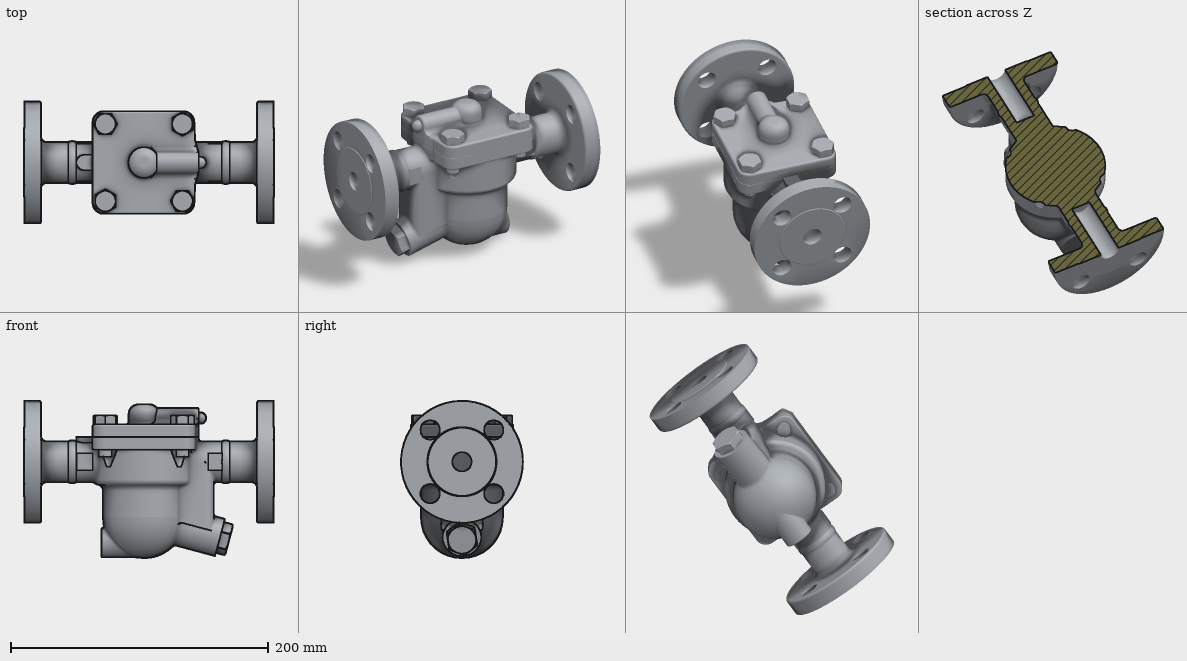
import cadquery as cq
import math

face_to_face = 195.0

flange_dia = 95.0
raised_face_dia = 53.0
raised_face_height = 0.5
flange_thickness = 13.6
flange_edge_radius = 1.8
flange_bolt_circle = 70.0
flange_bolt_hole_dia = 15.0
flange_bolt_count = 4
flange_bolt_start_angle = 45.0
hub_fillet = 4.0

pipe_dia = 32.0
bore_dia = 15.0
bore_depth = 50.0
weld_bead_x = 59.7
weld_bead_width = 6.0
weld_bead_height = 0.8

vessel_x = -4.0
vessel_upper_r = 39.0
vessel_lower_r = 32.0
shoulder_top_z = -14.0
shoulder_round = 4.0
dome_center_z = -43.0
pipe_to_vessel_fillet = 3.5

cover_half = 40.0
cover_right_x = 36.0
cover_right_corner_x = 35.0
cover_flank_half = 17.0
cover_bulge_x = 38.7
cover_bulge_half = 8.0
cover_corner_r = 9.0
flange_bottom_z = 9.5
joint_z = 19.0
gasket_thickness = 0.5
gasket_inset = 0.3
cover_top_z = 29.3
cover_edge_round = 1.8
flange_edge_round = 1.0

head_chamfer_angle = 30.0

bolt_pitch = 60.0
bolt_across_flats = 16.0
bolt_head_height = 7.0
bolt_head_chamfer_rise = 0.7
bolt_turn = 30.0
bolt_dia = 10.0
bolt_end_z = 4.0
bolt_relief_top_r = 9.3
bolt_relief_bottom_r = 3.9
bolt_relief_bottom_z = -4.0

cap_r = 12.0
cap_top_z = 44.8
cap_round = 8.0
cap_foot_fillet = 1.6
tube_r = 8.0
tube_axis_z = 34.0
tube_end_round = 1.4
button_r = 4.5
button_length = 5.8

rib_end_x = 50.5
rib_edge_r = 7.0
rib_fillet = 2.0

branch_angle = 15.0
branch_dia = 30.0
branch_length = 61.3
branch_fillet = 3.5
rib_above_branch_axis = 3.4
plug_across_flats = 22.0
plug_length = 7.5
plug_chamfer_rise = 0.9
plug_turn = 9.0

drain_dia = 22.8
drain_edge_round = 1.0
drain_fillet = 1.5
drain_z = -63.0
drain_face_x = -37.0

pad_height = 13.5
pad_inlet_x = (-56.2, -43.9)
pad_outlet_x = (46.0, 56.8)
lug_r = 5.9
lug_x = -50.7
lug_top_z = 19.3

pipe_r = pipe_dia / 2
shoulder_step = vessel_upper_r - vessel_lower_r
shoulder_turn = math.acos(1 - shoulder_step / (2 * shoulder_round))
shoulder_bottom_z = shoulder_top_z - 2 * shoulder_round * math.sin(shoulder_turn)
half_length = face_to_face / 2
tube_foot_fillet = tube_axis_z - cover_top_z
flange_back_x = half_length - flange_thickness


def cylinder_x(radius, x_start, x_end, y=0.0, z=0.0):
    """Round bar along X."""
    return (
        cq.Workplane("YZ", origin=(x_start, y, z))
        .circle(radius)
        .extrude(x_end - x_start)
    )


def box_between(x_range, y_range, z_range):
    """Box given by its limits along each axis."""
    sizes = [end - start for start, end in (x_range, y_range, z_range)]
    corner = (x_range[0], y_range[0], z_range[0])
    return cq.Workplane("XY").box(*sizes, centered=False).translate(corner)


def edges_inside(x_range, y_range, z_range):
    """Selector for the edges lying wholly inside a box."""
    margin = 0.1
    limits = (x_range, y_range, z_range)
    low = [start - margin for start, _ in limits]
    high = [end + margin for _, end in limits]
    return cq.selectors.BoxSelector(low, high, boundingbox=True)


def hex_head(across_flats, length, chamfer_rise):
    """Hexagon along Z from z = 0 whose far corners are cut by a cone."""
    corner_r = across_flats / math.sqrt(3)
    flat_r = across_flats / 2
    cone_run = chamfer_rise / math.tan(math.radians(head_chamfer_angle))
    prism = cq.Workplane("XY").polygon(6, 2 * corner_r).extrude(length)
    envelope = (
        cq.Workplane("XZ")
        .moveTo(0, 0)
        .lineTo(flat_r + cone_run, 0)
        .lineTo(flat_r + cone_run, length - chamfer_rise)
        .lineTo(flat_r, length)
        .lineTo(0, length)
        .close()
        .revolve(360, (0, 0, 0), (0, 1, 0))
    )
    return prism.intersect(envelope)


def flanged_pipe():
    """Outlet-side flange, hub fillet, pipe and weld bead; the inlet side is its mirror."""
    flange_r = flange_dia / 2
    face_r = raised_face_dia / 2
    face_x = half_length - raised_face_height
    edge_mid = flange_edge_radius * (1 - math.sqrt(0.5))
    hub_mid = hub_fillet * (1 - math.sqrt(0.5))
    bead_start = weld_bead_x - weld_bead_width / 2
    bead_end = weld_bead_x + weld_bead_width / 2
    body = (
        cq.Workplane("XY")
        .moveTo(bead_start, 0)
        .lineTo(half_length, 0)
        .lineTo(half_length, face_r)
        .lineTo(face_x, face_r + raised_face_height)
        .lineTo(face_x, flange_r)
        .lineTo(flange_back_x + flange_edge_radius, flange_r)
        .threePointArc(
            (flange_back_x + edge_mid, flange_r - edge_mid),
            (flange_back_x, flange_r - flange_edge_radius),
        )
        .lineTo(flange_back_x, pipe_r + hub_fillet)
        .threePointArc(
            (flange_back_x - hub_mid, pipe_r + hub_mid),
            (flange_back_x - hub_fillet, pipe_r),
        )
        .lineTo(bead_end, pipe_r)
        .threePointArc((weld_bead_x, pipe_r + weld_bead_height), (bead_start, pipe_r))
        .close()
        .revolve(360, (0, 0, 0), (1, 0, 0))
    )
    holes = (
        cq.Workplane("YZ", origin=(flange_back_x, 0, 0))
        .polarArray(flange_bolt_circle / 2, flange_bolt_start_angle, 360, flange_bolt_count)
        .circle(flange_bolt_hole_dia / 2)
        .extrude(flange_thickness)
    )
    return body.cut(holes)


def vessel():
    """Round body with a rounded shoulder and a hemispherical bottom."""
    mid_run = shoulder_round * (1 - math.cos(shoulder_turn / 2))
    mid_drop = shoulder_round * math.sin(shoulder_turn / 2)
    shoulder_middle = (
        (vessel_upper_r + vessel_lower_r) / 2,
        (shoulder_top_z + shoulder_bottom_z) / 2,
    )
    dome_mid = vessel_lower_r * math.sqrt(0.5)
    return (
        cq.Workplane("XZ")
        .moveTo(0, joint_z)
        .lineTo(vessel_upper_r, joint_z)
        .lineTo(vessel_upper_r, shoulder_top_z)
        .threePointArc((vessel_upper_r - mid_run, shoulder_top_z - mid_drop), shoulder_middle)
        .threePointArc(
            (vessel_lower_r + mid_run, shoulder_bottom_z + mid_drop),
            (vessel_lower_r, shoulder_bottom_z),
        )
        .lineTo(vessel_lower_r, dome_center_z)
        .threePointArc(
            (dome_mid, dome_center_z - dome_mid), (0, dome_center_z - vessel_lower_r)
        )
        .close()
        .revolve(360, (0, 0, 0), (0, 1, 0))
        .translate((vessel_x, 0, 0))
    )


def along_branch(shape, distance):
    """Move a shape built along +Z onto the branch axis."""
    tilted = shape.translate((0, 0, distance)).rotate((0, 0, 0), (0, 1, 0), 90 + branch_angle)
    return tilted.translate((vessel_x, 0, dome_center_z))


def branch():
    """Round bar from the dome centre along the sloping axis."""
    return along_branch(cq.Workplane("XY").circle(branch_dia / 2).extrude(branch_length), 0)


def branch_plug():
    """Hexagon plug on the end of the branch."""
    plug = hex_head(plug_across_flats, plug_length, plug_chamfer_rise)
    plug = plug.rotate((0, 0, 0), (0, 0, 1), plug_turn)
    return along_branch(plug, branch_length)


def rib():
    """Web tangent to both sides of the outlet pipe, ending just above the branch axis."""
    slope = math.tan(math.radians(branch_angle))
    lift = rib_above_branch_axis / math.cos(math.radians(branch_angle))
    bottom_z_start = dome_center_z + lift
    bottom_z_end = bottom_z_start - (rib_end_x - vessel_x) * slope
    return (
        cq.Workplane("XZ", origin=(0, pipe_r, 0))
        .moveTo(vessel_x, 0)
        .lineTo(rib_end_x, 0)
        .lineTo(rib_end_x, bottom_z_end)
        .lineTo(vessel_x, bottom_z_start)
        .close()
        .extrude(pipe_dia)
        .edges("|Z and >X")
        .fillet(rib_edge_r)
    )


def joint_plate(z_start, z_end, inset=0.0):
    """Square plate with a bulge on the outlet side, its outline moved inward by the inset."""
    left_x = vessel_x - cover_half
    outline = (
        cq.Workplane("XY", origin=(0, 0, z_start))
        .moveTo(left_x, -cover_half)
        .lineTo(cover_right_corner_x, -cover_half)
        .lineTo(cover_right_x, -cover_flank_half)
        .lineTo(cover_bulge_x, -cover_bulge_half)
        .lineTo(cover_bulge_x, cover_bulge_half)
        .lineTo(cover_right_x, cover_flank_half)
        .lineTo(cover_right_corner_x, cover_half)
        .lineTo(left_x, cover_half)
        .close()
    )
    if inset:
        outline = outline.offset2D(-inset, "intersection")
    plate = outline.extrude(z_end - z_start)
    return plate.edges("|Z and (<Y or >Y)").fillet(cover_corner_r - inset)


def body_flange():
    """Plate at the vessel rim, rounded along its lower edge."""
    return joint_plate(flange_bottom_z, joint_z).faces("<Z").edges().fillet(flange_edge_round)


def gasket():
    """Thin sheet set slightly inside the plates above and below it."""
    return joint_plate(joint_z, joint_z + gasket_thickness, gasket_inset)


def cover():
    """Plate closing the vessel, rounded along its top edge."""
    plate = joint_plate(joint_z + gasket_thickness, cover_top_z)
    return plate.faces(">Z").edges().fillet(cover_edge_round)


def cover_cap():
    """Round cap over the vessel axis with a rounded crown and a flared foot."""
    crown_x = cap_r - cap_round
    crown_z = cap_top_z - cap_round
    crown_mid = cap_round * math.sqrt(0.5)
    foot_mid = cap_foot_fillet * (1 - math.sqrt(0.5))
    return (
        cq.Workplane("XZ")
        .moveTo(0, cover_top_z)
        .lineTo(cap_r + cap_foot_fillet, cover_top_z)
        .threePointArc(
            (cap_r + foot_mid, cover_top_z + foot_mid), (cap_r, cover_top_z + cap_foot_fillet)
        )
        .lineTo(cap_r, crown_z)
        .threePointArc((crown_x + crown_mid, crown_z + crown_mid), (crown_x, cap_top_z))
        .lineTo(0, cap_top_z)
        .close()
        .revolve(360, (0, 0, 0), (0, 1, 0))
        .translate((vessel_x, 0, 0))
    )


def cover_tube():
    """Half-round tube on concave feet, trimmed to the cover's bulged side."""
    base_z = cover_top_z - cover_edge_round
    foot_y = tube_r + tube_foot_fillet
    foot_mid = tube_foot_fillet * (1 - math.sqrt(0.5))
    foot_mid_y = tube_r + foot_mid
    foot_mid_z = cover_top_z + foot_mid
    bar = (
        cq.Workplane("YZ", origin=(vessel_x, 0, 0))
        .moveTo(-foot_y, base_z)
        .lineTo(-foot_y, cover_top_z)
        .threePointArc((-foot_mid_y, foot_mid_z), (-tube_r, tube_axis_z))
        .threePointArc((0, tube_axis_z + tube_r), (tube_r, tube_axis_z))
        .threePointArc((foot_mid_y, foot_mid_z), (foot_y, cover_top_z))
        .lineTo(foot_y, base_z)
        .close()
        .extrude(cover_bulge_x - vessel_x)
    )
    tube = bar.intersect(joint_plate(base_z, cap_top_z))
    end_arc = edges_inside(
        (cover_right_x, cover_bulge_x), (-tube_r, tube_r), (tube_axis_z, cap_top_z)
    )
    return tube.edges(end_arc).fillet(tube_end_round)


def tube_button():
    """Round-nosed button on the end of the cover tube."""
    nose_x = cover_bulge_x + button_length - button_r
    shank = cylinder_x(button_r, cover_bulge_x - button_r / 2, nose_x, z=tube_axis_z)
    return shank.union(cq.Workplane("XY").sphere(button_r).translate((nose_x, 0, tube_axis_z)))


def bolt_places():
    """Bolt axis points, each with the angle its hexagon is turned by."""
    half = bolt_pitch / 2
    for side_x in (-1, 1):
        for side_y in (-1, 1):
            turn = bolt_turn if side_x == side_y else 0
            yield (vessel_x + side_x * half, side_y * half, 0), turn


def bolt():
    """Head on the cover and round end below the body flange."""
    head = hex_head(bolt_across_flats, bolt_head_height, bolt_head_chamfer_rise)
    shank = (
        cq.Workplane("XY", origin=(0, 0, bolt_end_z))
        .circle(bolt_dia / 2)
        .extrude(cover_top_z - bolt_end_z)
    )
    return head.translate((0, 0, cover_top_z)).union(shank)


def bolt_relief():
    """Conical clearance around a bolt end in the side of the vessel."""
    return (
        cq.Workplane("XY", origin=(0, 0, bolt_relief_bottom_z))
        .circle(bolt_relief_bottom_r)
        .workplane(offset=flange_bottom_z - bolt_relief_bottom_z)
        .circle(bolt_relief_top_r)
        .loft()
    )


def drain_boss():
    """Horizontal boss at the dome's inlet side with a rounded end edge."""
    boss = cylinder_x(drain_dia / 2, drain_face_x, vessel_x, z=drain_z)
    return boss.faces("<X").edges().fillet(drain_edge_round)


def wrench_pads():
    """Flat pads on both sides of the inlet and outlet pipes."""
    half = pad_height / 2
    inlet = box_between(pad_inlet_x, (-pipe_r, pipe_r), (-half, half))
    outlet = box_between(pad_outlet_x, (-pipe_r, pipe_r), (-half, half))
    return inlet.union(outlet)


def lug():
    """Round-ended lug on top of the inlet pipe, running into the body flange."""
    inner_x = vessel_x - vessel_upper_r
    end = cq.Workplane("XY").circle(lug_r).extrude(lug_top_z).translate((lug_x, 0, 0))
    return end.union(box_between((lug_x, inner_x), (-lug_r, lug_r), (0, lug_top_z)))


def pipe_bores():
    """Blind bores in both flange faces."""
    outlet = cylinder_x(bore_dia / 2, half_length - bore_depth, half_length)
    return outlet.union(outlet.mirror("YZ"))


def blended_body():
    """Vessel and body flange joined to the inlet, outlet, rib, branch and drain boss."""
    across_pipe = (-pipe_r, pipe_r)
    dome_bottom_z = dome_center_z - vessel_lower_r
    rib_round_x = rib_end_x - rib_edge_r
    dome_right_x = vessel_x + vessel_lower_r / 2

    inlet = cylinder_x(pipe_r, -weld_bead_x, vessel_x)
    inlet_joint = edges_inside((vessel_x - vessel_upper_r, vessel_x), across_pipe, across_pipe)
    inlet_vessel = vessel().union(inlet).edges(inlet_joint).fillet(pipe_to_vessel_fillet)

    outlet = cylinder_x(pipe_r, vessel_x, weld_bead_x).union(rib())
    outlet_joint = edges_inside(
        (dome_right_x, cover_bulge_x), across_pipe, (dome_bottom_z, pipe_r)
    )
    body = vessel().union(outlet).union(body_flange())
    body = body.edges(outlet_joint).fillet(rib_fillet)

    branch_joint = edges_inside(
        (dome_right_x, vessel_x + vessel_upper_r),
        across_pipe,
        (dome_bottom_z, shoulder_bottom_z),
    )
    dome_and_branch = vessel().union(branch()).edges(branch_joint).fillet(branch_fillet)
    body = body.union(dome_and_branch)

    end_pipe_joint = edges_inside((rib_round_x, rib_end_x), across_pipe, (-pipe_r, 0))
    body = body.edges(end_pipe_joint).fillet(rib_fillet)
    end_branch_joint = edges_inside(
        (rib_end_x - rib_edge_r / 2, rib_end_x), across_pipe, (drain_z, dome_center_z)
    )
    body = body.edges(end_branch_joint).fillet(rib_fillet)

    drain_joint = edges_inside(
        (drain_face_x + 2 * drain_edge_round, vessel_x), across_pipe, (dome_bottom_z, dome_center_z)
    )
    dome_and_drain = vessel().union(drain_boss()).edges(drain_joint).fillet(drain_fillet)
    body = body.union(inlet_vessel).union(dome_and_drain)

    for place, _ in bolt_places():
        body = body.cut(bolt_relief().translate(place))
    return body


def valve():
    """All parts joined, with the bores cut last."""
    outlet_side = flanged_pipe()
    body = blended_body()
    for part in (
        outlet_side,
        outlet_side.mirror("YZ"),
        branch_plug(),
        wrench_pads(),
        lug(),
        gasket(),
        cover(),
        cover_cap(),
        cover_tube(),
        tube_button(),
    ):
        body = body.union(part)
    for place, turn in bolt_places():
        body = body.union(bolt().rotate((0, 0, 0), (0, 0, 1), turn).translate(place))
    return body.cut(pipe_bores())


result = valve()